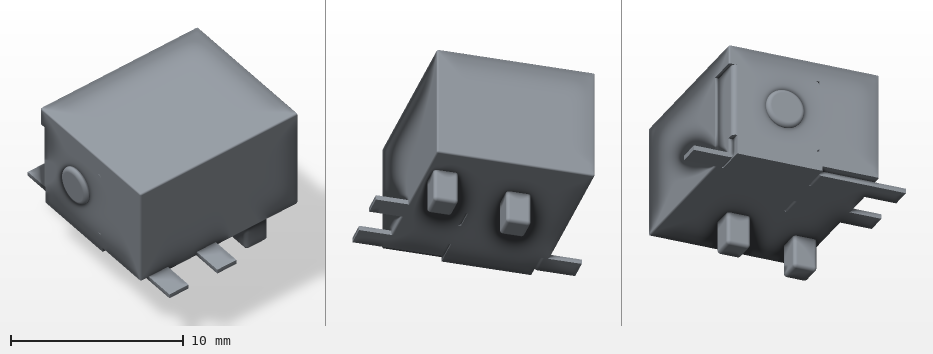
import cadquery as cq


OVERALL_WIDTH = 13.4
OVERALL_DEPTH = 11.8
OVERALL_HEIGHT = 9.0

HOUSING_WIDTH = 9.5
HOUSING_DEPTH = 11.5
HOUSING_HEIGHT = 7.0
HOUSING_ROUND = 0.1
HALF_WIDTH = HOUSING_WIDTH / 2

PEG_WIDTH = 1.47
PEG_DEPTH = 1.6
PEG_LENGTH = OVERALL_HEIGHT - HOUSING_HEIGHT
PEG_ROUND = 0.2
PEG_CENTRES = [(-1.05, 7.7), (3.65, 8.8)]

SHEET = 0.3
BEND_ROUND = 0.2
FOOT_WIDTH = 1.4
FOOT_TIP = OVERALL_WIDTH / 2

FRONT_FOOT_START = 0.6
FRONT_FOOT_END = FRONT_FOOT_START + FOOT_WIDTH
LEG_INSET = 0.23
LEG_OUTER_X = -HALF_WIDTH + LEG_INSET
LEG_INNER_X = LEG_OUTER_X + SHEET
PLATE_RIGHT_X = 0.98
PLATE_BOTTOM = 1.2
PLATE_TOP = 5.78
PLATE_CORNER_ROUND = 0.3

RIVET_X = -1.25
RIVET_Z = 3.5
RIVET_DIAMETER = 2.4
RIVET_ROUND = 0.25
RIVET_HEIGHT = OVERALL_DEPTH - HOUSING_DEPTH

FLAT_INNER_X = 1.17
REAR_FOOT_START = 4.1
REAR_FOOT_END = REAR_FOOT_START + FOOT_WIDTH
FLAT_STARTS = [FRONT_FOOT_START, REAR_FOOT_START]
FLAT_SLOTS = [(0, FRONT_FOOT_END), (REAR_FOOT_START, REAR_FOOT_END)]


def block(x_range, y_range, z_range):
    """Box between two limits on each axis."""
    return cq.Workplane("XY").box(
        x_range[1] - x_range[0],
        y_range[1] - y_range[0],
        z_range[1] - z_range[0],
        centered=False,
    ).translate((x_range[0], y_range[0], z_range[0]))


def make_peg(x, y):
    """Locating peg hanging from the underside, rounded except where it joins."""
    peg = block(
        (x - PEG_WIDTH / 2, x + PEG_WIDTH / 2),
        (y - PEG_DEPTH / 2, y + PEG_DEPTH / 2),
        (-PEG_LENGTH, 0),
    )
    return peg.edges("|Z or <Z").fillet(PEG_ROUND)


def make_housing():
    housing = block((-HALF_WIDTH, HALF_WIDTH), (0, HOUSING_DEPTH), (0, HOUSING_HEIGHT))
    front_bottom_edge = cq.selectors.NearestToPointSelector((0, 0, 0))
    all_edges = cq.selectors.StringSyntaxSelector("|X or |Y or |Z")
    housing = housing.edges(all_edges - front_bottom_edge).fillet(HOUSING_ROUND)

    housing = housing.cut(block((-HALF_WIDTH, LEG_INNER_X), (0, FRONT_FOOT_END), (0, PLATE_TOP)))
    housing = housing.cut(block((LEG_INNER_X, PLATE_RIGHT_X), (0, SHEET), (PLATE_BOTTOM, PLATE_TOP)))
    for slot in FLAT_SLOTS:
        housing = housing.cut(block((FLAT_INNER_X, HALF_WIDTH), slot, (0, SHEET)))

    for x, y in PEG_CENTRES:
        housing = housing.union(make_peg(x, y))
    return housing


def make_wrapped_terminal():
    leg = block((LEG_OUTER_X, LEG_INNER_X), (FRONT_FOOT_START, FRONT_FOOT_END), (0, PLATE_TOP))
    foot = block((-FOOT_TIP, LEG_INNER_X), (FRONT_FOOT_START, FRONT_FOOT_END), (0, SHEET))
    foot_and_leg = leg.union(foot).edges("|Y and >X and <Z").fillet(BEND_ROUND)

    plate = block((LEG_OUTER_X, PLATE_RIGHT_X), (0, SHEET), (PLATE_BOTTOM, PLATE_TOP))
    plate = plate.edges("|Y and >X").fillet(PLATE_CORNER_ROUND)

    strip = block((LEG_OUTER_X, LEG_INNER_X), (0, FRONT_FOOT_START), (PLATE_BOTTOM, PLATE_TOP))
    strip = strip.union(plate)
    strip = strip.edges("|Z and <X and <Y").fillet(SHEET)

    rivet_head = (
        cq.Workplane("XZ", origin=(RIVET_X, 0, RIVET_Z))
        .circle(RIVET_DIAMETER / 2)
        .extrude(RIVET_HEIGHT)
        .faces("<Y").edges().fillet(RIVET_ROUND)
    )
    return foot_and_leg.union(strip).union(rivet_head)


def make_flat_terminal(y_start):
    """Flat strip with its lower inner edge rounded."""
    strip = block((FLAT_INNER_X, FOOT_TIP), (y_start, y_start + FOOT_WIDTH), (0, SHEET))
    return strip.edges("|Y and <X and <Z").fillet(BEND_ROUND)


housing = make_housing()
wrapped_terminal = make_wrapped_terminal()
flat_terminals = [make_flat_terminal(y_start) for y_start in FLAT_STARTS]

result = cq.Compound.makeCompound([
    housing.val(),
    wrapped_terminal.val(),
    *[terminal.val() for terminal in flat_terminals],
])